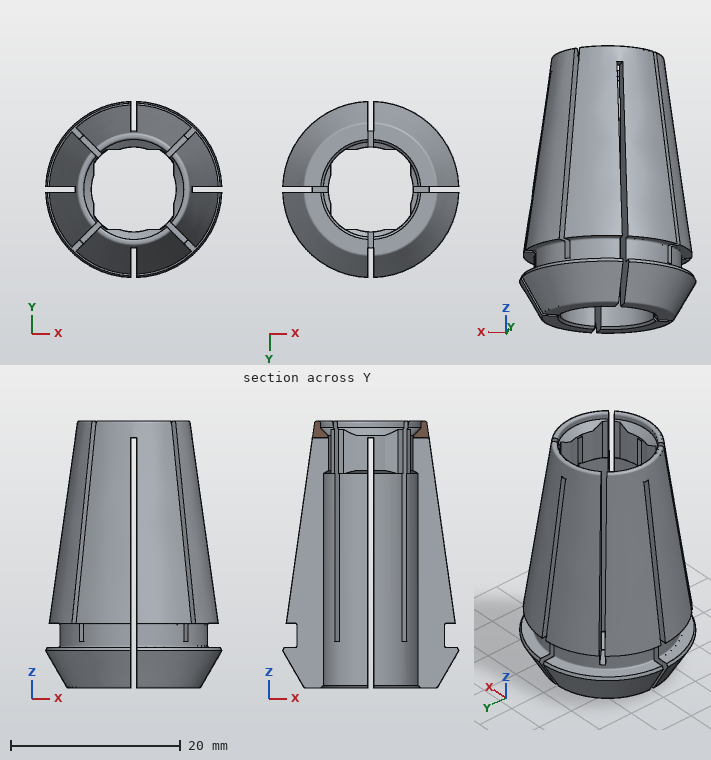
import cadquery as cq
import math

length = 31.5
taper_half_angle = 8.0
taper_base_radius = 9.98
taper_base_z = 7.62
taper_top_radius = taper_base_radius - (length - taper_base_z) * math.tan(math.radians(taper_half_angle))

nose_half_angle = 30.0
flange_radius = 10.4
flange_top_z = 4.8
flange_chamfer_width = 0.2
flange_chamfer_height = 0.4
flange_edge_z = flange_top_z - flange_chamfer_height
nose_radius = flange_radius - flange_edge_z * math.tan(math.radians(nose_half_angle))
groove_radius = 8.72

rim_fillet = 0.3
groove_fillet = 0.2
nose_fillet = 0.3

shank_radius = 5.6
shank_chamfer = 0.3
drive_half_width = 4.7
drive_corner_radius = 5.7
drive_relief_radius = 5.0
drive_start_z = 25.3
mouth_radius = 5.9
mouth_z = 30.7
mouth_cone_half_angle = 45.0
shank_cone_half_angle = 60.0

slot_width = 0.7
slot_count_per_end = 4
slot_spacing = 360.0 / slot_count_per_end
base_slot_end_z = 29.5
top_slot_end_z = 5.5


def revolve_profile(points):
    """Turn a closed (radius, height) outline about the Z axis."""
    return cq.Workplane("XZ").polyline(points).close().revolve(360, (0, 0, 0), (0, 1, 0))


def ring_edge(radius, z):
    """Select the circular edge of the given radius at the given height."""
    tolerance = 0.01
    reach = radius + tolerance
    outer = cq.selectors.BoxSelector(
        (-reach, -reach, z - tolerance), (reach, reach, z + tolerance), boundingbox=True
    )
    inner_reach = radius - tolerance
    inner = cq.selectors.BoxSelector(
        (-inner_reach, -inner_reach, z - tolerance), (inner_reach, inner_reach, z + tolerance), boundingbox=True
    )
    return outer - inner


def make_outer_body():
    body = revolve_profile(
        [
            (0, 0),
            (nose_radius, 0),
            (flange_radius, flange_edge_z),
            (flange_radius - flange_chamfer_width, flange_top_z),
            (groove_radius, flange_top_z),
            (groove_radius, taper_base_z),
            (taper_base_radius, taper_base_z),
            (taper_top_radius, length),
            (0, length),
        ]
    )
    body = body.edges(ring_edge(taper_top_radius, length)).fillet(rim_fillet)
    body = body.edges(ring_edge(nose_radius, 0)).fillet(nose_fillet)
    for z in (flange_top_z, taper_base_z):
        body = body.edges(ring_edge(groove_radius, z)).fillet(groove_fillet)
    return body


def make_round_bore():
    """Shank seat below and mouth above, each tapering to a point inside the drive section."""
    shank_cone_height = shank_radius / math.tan(math.radians(shank_cone_half_angle))
    mouth_cone_height = mouth_radius / math.tan(math.radians(mouth_cone_half_angle))
    shank_seat = revolve_profile(
        [
            (0, 0),
            (shank_radius + shank_chamfer, 0),
            (shank_radius, shank_chamfer),
            (shank_radius, drive_start_z),
            (0, drive_start_z + shank_cone_height),
        ]
    )
    mouth = revolve_profile(
        [
            (0, length),
            (mouth_radius, length),
            (mouth_radius, mouth_z),
            (0, mouth_z - mouth_cone_height),
        ]
    )
    return shank_seat.union(mouth)


def make_drive_section():
    """Square opening with its corners rounded and its sides relieved by an arc."""
    drive_plane = cq.Workplane("XY").workplane(offset=drive_start_z)
    drive_height = mouth_z - drive_start_z
    square = drive_plane.rect(2 * drive_half_width, 2 * drive_half_width).extrude(drive_height)
    corner_limit = drive_plane.circle(drive_corner_radius).extrude(drive_height)
    side_relief = drive_plane.circle(drive_relief_radius).extrude(drive_height)
    return square.intersect(corner_limit).union(side_relief)


def make_slots(bottom_z, top_z, first_angle):
    """Radial slots from the axis outwards, evenly spaced from first_angle."""
    slot_reach = flange_radius + slot_width
    blade = (
        cq.Workplane("XY")
        .workplane(offset=bottom_z)
        .center(slot_reach / 2, 0)
        .rect(slot_reach, slot_width)
        .extrude(top_z - bottom_z)
    )
    slots = cq.Workplane("XY")
    for index in range(slot_count_per_end):
        angle = first_angle + index * slot_spacing
        slots = slots.add(blade.rotate((0, 0, 0), (0, 0, 1), angle))
    return slots.combine()


collet = make_outer_body().cut(make_round_bore()).cut(make_drive_section())
collet = collet.edges(ring_edge(mouth_radius, length)).fillet(rim_fillet)
collet = collet.cut(make_slots(0, base_slot_end_z, 0))
collet = collet.cut(make_slots(top_slot_end_z, length, slot_spacing / 2))

result = collet